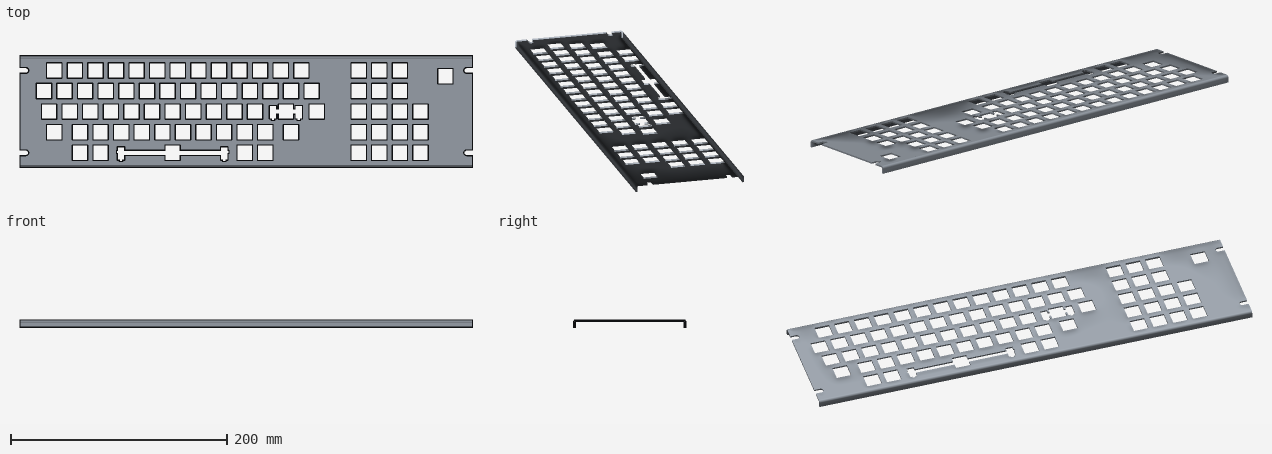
import cadquery as cq

length = 418.5
width = 104.0
height = 7.0
thickness = 1.5
bend_radius = 2.25

top_row_steps = 12
top_row_span = 228.5
pitch = top_row_span / top_row_steps
web_width = 5.0
key_size = pitch - web_width

left_inset = 22.0
indent = 0.5
main_x = -length / 2 + left_inset + indent * pitch
main_runs = [
    (2, 0, top_row_steps + 1),
    (1, -indent, 14),
    (0, -0.25, 11),
    (0, 12.75, 1),
    (-1, 0, 1),
    (-1, 1.25, 10),
    (-1, 11.5, 1),
    (-2, 1.25, 2),
    (-2, 9.25, 2),
]

pad_columns = 4
right_inset = 48.0
pad_x = length / 2 - right_inset - (pad_columns - 1) * pitch
pad_rows = [(2, 3), (1, 3), (0, pad_columns), (-1, pad_columns), (-2, pad_columns)]

corner_key_x = 184.2
corner_key_y = 32.5

enter_column = 11.25
enter_row = 0
enter_span = 24.0
space_column = 5.75
space_row = -2
space_span = 95.5
wing_width = 6.5
wing_top = 5.5
wing_bottom = -6.5
foot_width = 3.0
foot_depth = 1.35
wire_slot_height = 4.5
clip_notch_depth = 1.0
clip_notch_height = 2.8

slot_width = 5.0
slot_depth = 8.0
slot_y = 2 * pitch

cut_depth = 2 * height


def box_cutter(x_min, x_max, y_min, y_max):
    """Rectangular cutter running right through the plate."""
    return (
        cq.Workplane("XY")
        .center((x_min + x_max) / 2, (y_min + y_max) / 2)
        .rect(x_max - x_min, y_max - y_min)
        .extrude(cut_depth, both=True)
    )


def folded_sheet():
    """Flat plate with both long edges folded down."""
    blank = (
        cq.Workplane("XY")
        .box(length, width, height, centered=(True, True, False))
        .edges("|X and >Z")
        .fillet(bend_radius)
    )
    inside = (
        cq.Workplane("XY")
        .box(length, width - 2 * thickness, height - thickness, centered=(True, True, False))
        .edges("|X and >Z")
        .fillet(bend_radius - thickness)
    )
    return blank.cut(inside)


def key_points():
    """Centres of all the plain square key openings."""
    points = [(corner_key_x, corner_key_y)]
    for row, first_column, count in main_runs:
        for step in range(count):
            points.append((main_x + (first_column + step) * pitch, row * pitch))
    for row, count in pad_rows:
        for step in range(count):
            points.append((pad_x + step * pitch, row * pitch))
    return points


def wide_key_cutter(column, row, span, clip_notches):
    """Key opening joined by a wire slot to a stabilizer opening on each side."""
    half_key = key_size / 2
    half_slot = wire_slot_height / 2
    half_span = span / 2
    cutter = box_cutter(-half_key, half_key, -half_key, half_key)
    cutter = cutter.union(box_cutter(-half_span, half_span, -half_slot, half_slot))
    for side in (-1, 1):
        x = side * half_span
        wing = box_cutter(x - wing_width / 2, x + wing_width / 2, wing_bottom, wing_top)
        foot = box_cutter(x - foot_width / 2, x + foot_width / 2, wing_bottom - foot_depth, wing_top)
        cutter = cutter.union(wing).union(foot)
    if clip_notches:
        reach = half_span + wing_width / 2 + clip_notch_depth
        cutter = cutter.union(box_cutter(-reach, reach, half_slot - clip_notch_height, half_slot))
    return cutter.translate((main_x + column * pitch, row * pitch, 0))


def mounting_slots():
    """Round-ended slots entering from both short ends."""
    return (
        cq.Workplane("XY")
        .pushPoints([(x, y) for x in (-length / 2, length / 2) for y in (-slot_y, slot_y)])
        .slot2D(2 * slot_depth, slot_width)
        .extrude(cut_depth, both=True)
    )


keys = cq.Workplane("XY").pushPoints(key_points()).rect(key_size, key_size).extrude(cut_depth, both=True)

result = (
    folded_sheet()
    .cut(keys)
    .cut(wide_key_cutter(enter_column, enter_row, enter_span, clip_notches=False))
    .cut(wide_key_cutter(space_column, space_row, space_span, clip_notches=True))
    .cut(mounting_slots())
)